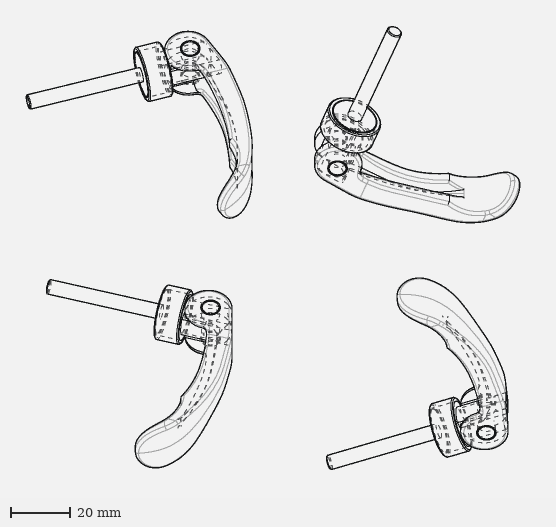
import cadquery as cq
import math


HEAD_HALF_HEIGHT = 8.0
CAM_RADIUS = 8.0
CAM_CENTRE_Y = -0.7
CAM_BOTTOM_Y = CAM_CENTRE_Y - CAM_RADIUS

PIN_RADIUS = 3.0
PIN_CHAMFER = 0.2
PIN_HOLE_CHAMFER = 0.3

ROD_RADIUS = 2.5
ROD_CHAMFER = 0.35
ROD_END_Y = -57.2
FLANGE_RADIUS = 7.95
FLANGE_CHAMFER = 0.3
NECK_RADIUS = 6.0
NECK_HALF_THICKNESS = 4.0
NECK_END_RADIUS = 7.8

COLLAR_RADIUS = 9.45
COLLAR_HEIGHT = 8.5
COLLAR_CHAMFER = 0.4
COLLAR_BOTTOM_Y = CAM_BOTTOM_Y - COLLAR_HEIGHT

BACK_SLOPE = math.radians(16.2)
BACK_START = (
    -CAM_RADIUS * math.sin(BACK_SLOPE),
    CAM_CENTRE_Y + CAM_RADIUS * math.cos(BACK_SLOPE),
)
BACK_STRAIGHT_LENGTH = 10.2
BACK_CURVE = [
    (15.9, 10.9),
    (24.2, 11.4),
    (33.2, 10.7),
    (41.9, 9.1),
    (49.8, 6.6),
    (56.3, 2.75),
    (64.4, -11.55),
]
PADDLE_FRONT_END = (59.9, -12.3)
PADDLE_FRONT_MIDDLE = (52.0, 0.6)
KNEE = (40.65, 1.6)
ARM_FRONT_MIDDLE = (25.6, 3.5)
ARM_FRONT_START = (9.8, 1.55)

HEAD_END_X = 11.55
WAIST = (27.6, 6.68)
SHOULDER = (39.7, 8.0)
PADDLE_HALF_WIDTH = 10.0
PADDLE_FULL_X = 53.4

TIP_CENTRE = (58.2, 1.15)
TIP_SLOPE = math.radians(17.5)

EDGE_RADIUS = 1.0

GROOVE_STATIONS = [
    (3.6, 1.6, 4.0, 6.1),
    (14.45, 1.45, 5.4, 5.4),
    (28.9, 0.15, 6.5, 4.0),
    (37.55, 0.6, 5.2, 4.55),
    (46.9, 1.95, 1.9, 4.7),
]
GROOVE_MOUTH_Y = 0.0
GROOVE_EDGE_RADIUS = 1.45

MIN_EDGE = 0.1
CLEAR = 21.65


def lever_profile():
    """Upper half of the lever's side profile, with straight sides."""
    back_direction = (math.cos(BACK_SLOPE), math.sin(BACK_SLOPE))
    arm_back_start = (
        BACK_START[0] + BACK_STRAIGHT_LENGTH * back_direction[0],
        BACK_START[1] + BACK_STRAIGHT_LENGTH * back_direction[1],
    )
    tip_direction = (math.sin(TIP_SLOPE), -math.cos(TIP_SLOPE))
    return (
        cq.Workplane("XY")
        .moveTo(*BACK_START)
        .lineTo(*arm_back_start)
        .spline(BACK_CURVE, tangents=[back_direction, tip_direction], includeCurrent=True)
        .lineTo(*PADDLE_FRONT_END)
        .threePointArc(PADDLE_FRONT_MIDDLE, KNEE)
        .threePointArc(ARM_FRONT_MIDDLE, ARM_FRONT_START)
        .tangentArcPoint((CAM_RADIUS, CAM_CENTRE_Y), relative=False)
        .threePointArc((0, CAM_BOTTOM_Y), BACK_START)
        .close()
        .extrude(CLEAR)
    )


def lever_outline():
    """Upper half of the lever's outline along X, with walls along Y."""
    return (
        cq.Workplane("XZ", origin=(0, CLEAR, 0))
        .moveTo(-CLEAR, 0)
        .lineTo(-CLEAR, HEAD_HALF_HEIGHT)
        .lineTo(HEAD_END_X, HEAD_HALF_HEIGHT)
        .spline(
            [WAIST, SHOULDER, (PADDLE_FULL_X, PADDLE_HALF_WIDTH)],
            tangents=[(1, 0), (1, 0)],
            includeCurrent=True,
        )
        .lineTo(72.2 + CLEAR, PADDLE_HALF_WIDTH)
        .lineTo(72.2 + CLEAR, 0)
        .close()
        .extrude(2 * CLEAR)
    )


def tip_trim():
    """Everything outside the upper half of the paddle's round tip."""
    outward = cq.Vector(math.sin(TIP_SLOPE), -math.cos(TIP_SLOPE), 0)
    through = cq.Vector(-math.cos(TIP_SLOPE), -math.sin(TIP_SLOPE), 0)
    plane = cq.Plane(origin=(*TIP_CENTRE, 0), xDir=outward, normal=through)
    diagonal = PADDLE_HALF_WIDTH * math.sqrt(0.5)
    reach = PADDLE_HALF_WIDTH + CLEAR
    return (
        cq.Workplane(plane)
        .moveTo(0, PADDLE_HALF_WIDTH)
        .threePointArc((diagonal, diagonal), (PADDLE_HALF_WIDTH, 0))
        .lineTo(reach, 0)
        .lineTo(reach, reach)
        .lineTo(0, reach)
        .close()
        .extrude(CLEAR, both=True)
    )


def groove():
    """Upper half of the groove, lofted through sloping-walled sections."""
    wires = []
    for x, floor_half_width, floor_y, mouth_half_width in GROOVE_STATIONS:
        section = [
            (floor_y, 0),
            (floor_y, floor_half_width),
            (GROOVE_MOUTH_Y, mouth_half_width),
            (CAM_BOTTOM_Y, mouth_half_width),
            (CAM_BOTTOM_Y, 0),
        ]
        wires.append(cq.Wire.makePolygon([cq.Vector(x, y, z) for y, z in section], close=True))
    return cq.Workplane(cq.Solid.makeLoft(wires))


def round_groove_mouth(half):
    """Round the two edges where the groove's wall meets the arm and the paddle."""
    mouth = []
    for edge in half.edges().vals():
        box = edge.BoundingBox()
        along_lever = box.xlen > MIN_EDGE and box.xmin > CAM_RADIUS
        beside_floor = MIN_EDGE < box.zmin and box.zmax < WAIST[1] and box.zlen > MIN_EDGE
        at_front = box.ymax < ARM_FRONT_MIDDLE[1] + MIN_EDGE
        before_floor_end = box.xmin < KNEE[0] + MIN_EDGE
        if along_lever and beside_floor and at_front and before_floor_end:
            mouth.append(edge)
    return half.newObject(mouth).fillet(GROOVE_EDGE_RADIUS)


def round_rim(half):
    """Round the edges along the top of the half lever and around its tip."""
    rim = []
    for edge in half.edges().vals():
        box = edge.BoundingBox()
        upright = box.xlen < MIN_EDGE and box.ylen < MIN_EDGE
        along_top = box.zmin > WAIST[1] - MIN_EDGE
        around_tip = box.xmin > PADDLE_FULL_X - MIN_EDGE and box.zmax > MIN_EDGE
        if around_tip or (along_top and not upright):
            rim.append(edge)
    return half.newObject(rim).fillet(EDGE_RADIUS)


def slot():
    """Gap between the head's two cheeks: shaped like the neck, and open to -X."""
    thickness = 2 * NECK_HALF_THICKNESS
    round_end = cq.Workplane("XZ").circle(NECK_RADIUS).extrude(CLEAR, both=True)
    opening = cq.Workplane("XY").box(2 * CLEAR, 2 * CLEAR, thickness).translate((-CLEAR, 0, 0))
    slab = cq.Workplane("XY").box(2 * CLEAR, 2 * CLEAR, thickness)
    return round_end.intersect(slab).union(opening)


def pin_hole():
    hole = cq.Workplane("XY").circle(PIN_RADIUS).extrude(HEAD_HALF_HEIGHT)
    countersink = (
        cq.Workplane("XY", origin=(0, 0, HEAD_HALF_HEIGHT - PIN_HOLE_CHAMFER))
        .circle(PIN_RADIUS)
        .workplane(offset=PIN_HOLE_CHAMFER)
        .circle(PIN_RADIUS + PIN_HOLE_CHAMFER)
        .loft()
    )
    return hole.union(countersink)


def make_lever():
    half = lever_profile().intersect(lever_outline()).cut(tip_trim())
    half = round_groove_mouth(half.cut(groove()))
    half = round_rim(half).cut(pin_hole())
    return half.union(half.mirror("XY")).cut(slot())


def make_pin():
    return (
        cq.Workplane("XY", origin=(0, 0, -HEAD_HALF_HEIGHT))
        .circle(PIN_RADIUS)
        .extrude(2 * HEAD_HALF_HEIGHT)
        .edges("%CIRCLE")
        .chamfer(PIN_CHAMFER)
    )


def make_neck():
    """Round bar with two flats and an end rounded about the cam centre."""
    bar = (
        cq.Workplane("XZ", origin=(0, NECK_END_RADIUS, 0))
        .circle(NECK_RADIUS)
        .extrude(NECK_END_RADIUS - CAM_BOTTOM_Y)
    )
    flats = (
        cq.Workplane("XY", origin=(0, 0, -NECK_HALF_THICKNESS))
        .moveTo(-NECK_END_RADIUS, CAM_BOTTOM_Y)
        .lineTo(-NECK_END_RADIUS, CAM_CENTRE_Y)
        .threePointArc((0, CAM_CENTRE_Y + NECK_END_RADIUS), (NECK_END_RADIUS, CAM_CENTRE_Y))
        .lineTo(NECK_END_RADIUS, CAM_BOTTOM_Y)
        .close()
        .extrude(2 * NECK_HALF_THICKNESS)
    )
    return bar.intersect(flats)


def make_stud():
    """Rod, flange and neck, in one piece with the pivot pin."""
    flange = (
        cq.Workplane("XZ", origin=(0, CAM_BOTTOM_Y, 0))
        .circle(FLANGE_RADIUS)
        .extrude(COLLAR_HEIGHT)
        .faces("<Y")
        .chamfer(FLANGE_CHAMFER)
    )
    rod = (
        cq.Workplane("XZ", origin=(0, COLLAR_BOTTOM_Y, 0))
        .circle(ROD_RADIUS)
        .extrude(COLLAR_BOTTOM_Y - ROD_END_Y)
        .faces("<Y")
        .chamfer(ROD_CHAMFER)
    )
    return flange.union(rod).union(make_neck()).union(make_pin())


def make_collar():
    ring = (
        cq.Workplane("XZ", origin=(0, CAM_BOTTOM_Y, 0))
        .circle(COLLAR_RADIUS)
        .extrude(COLLAR_HEIGHT)
        .edges()
        .chamfer(COLLAR_CHAMFER)
    )
    bore = cq.Workplane("XZ", origin=(0, CAM_BOTTOM_Y, 0)).circle(FLANGE_RADIUS).extrude(COLLAR_HEIGHT)
    return ring.cut(bore)


lever = make_lever()
stud = make_stud()
collar = make_collar()

result = cq.Compound.makeCompound([lever.val(), stud.val(), collar.val()])